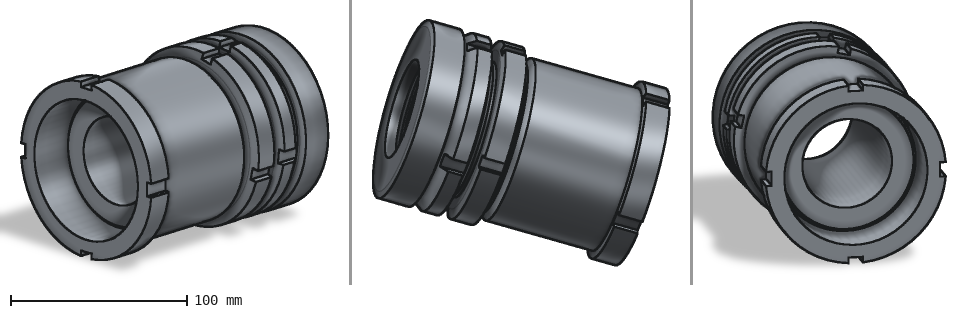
import cadquery as cq
import math


outer_radius = 52.5
edge_chamfer_length = 1.0
edge_chamfer_depth = 3.9
nut_chamfer_length = 1.3
nut_chamfer_depth = 5.7
thread_radius = 40.0

notch_count = 4
notch_floor_radius = 48.8

flange_length = 15.0
flange_radius = 52.2
barrel_radius = 47.9
sleeve_length = 82.2
barrel_chamfer = 3.5
sleeve_bore_radius = 41.5
sleeve_bore_depth = 40.2
sleeve_notch_width = 8.3

lock_nut_start = 84.7
lock_nut_length = 14.9
lock_nut_notch_width = 7.2
lock_nut_turn = 13.0

spindle_start = 24.0
spindle_bore_radius = 26.0
neck_radius = 38.5
thread_chamfer = thread_radius - neck_radius
thread_end = 103.2
head_start = 105.2
head_rim_length = 10.0
head_top = 133.5
head_notch_width = 8.3
head_turn = 6.0

seat_radius = 63.1
seat_rim = head_start + head_rim_length
seat_center = seat_rim - math.sqrt(seat_radius**2 - outer_radius**2)

washer_start = 122.7
washer_length = 20.1
washer_bore_radius = 29.0
washer_tilt_x = -0.65
washer_tilt_z = 0.65


def turned(outline):
    """Solid of revolution about Y from (radius, y) corners."""
    return cq.Workplane("XY").polyline(outline).close().revolve(360, (0, 0, 0), (0, 1, 0))


def cylinder(radius, start, end):
    return turned([(0, start), (radius, start), (radius, end), (0, end)])


def cut_notches(body, width, start, length, turn=0):
    """Cut flat-floored notches into the rim, turned clockwise as seen from -Y."""
    notch_height = outer_radius
    for index in range(notch_count):
        notch = (
            cq.Workplane("XY")
            .box(width, length, notch_height, centered=(True, False, False))
            .translate((0, start, notch_floor_radius))
            .rotate((0, 0, 0), (0, 1, 0), turn + index * 360 / notch_count)
        )
        body = body.cut(notch)
    return body


def make_sleeve():
    body = turned([
        (thread_radius, sleeve_bore_depth),
        (sleeve_bore_radius, sleeve_bore_depth),
        (sleeve_bore_radius, 0),
        (flange_radius, 0),
        (flange_radius, flange_length - edge_chamfer_length),
        (flange_radius - edge_chamfer_depth, flange_length),
        (barrel_radius, flange_length),
        (barrel_radius, sleeve_length - barrel_chamfer),
        (barrel_radius - barrel_chamfer, sleeve_length),
        (thread_radius, sleeve_length),
    ])
    return cut_notches(body, sleeve_notch_width, 0, flange_length)


def make_lock_nut():
    end = lock_nut_start + lock_nut_length
    body = turned([
        (thread_radius, lock_nut_start),
        (outer_radius - nut_chamfer_depth, lock_nut_start),
        (outer_radius, lock_nut_start + nut_chamfer_length),
        (outer_radius, end - nut_chamfer_length),
        (outer_radius - nut_chamfer_depth, end),
        (thread_radius, end),
    ])
    return cut_notches(body, lock_nut_notch_width, lock_nut_start, lock_nut_length, lock_nut_turn)


def seat_ball():
    return cq.Workplane("XY").sphere(seat_radius).translate((0, seat_center, 0))


def make_spindle():
    shank = turned([
        (0, spindle_start),
        (neck_radius, spindle_start),
        (thread_radius, spindle_start + thread_chamfer),
        (thread_radius, thread_end - thread_chamfer),
        (neck_radius, thread_end),
        (neck_radius, head_start),
        (0, head_start),
    ])
    head = turned([
        (0, head_start),
        (outer_radius - nut_chamfer_depth, head_start),
        (outer_radius, head_start + nut_chamfer_length),
        (outer_radius, head_top),
        (0, head_top),
    ]).intersect(seat_ball())
    head = cut_notches(head, head_notch_width, head_start, head_top - head_start, head_turn)
    bore = cylinder(spindle_bore_radius, spindle_start, head_top)
    return shank.union(head).cut(bore)


def make_washer():
    end = washer_start + washer_length
    body = turned([
        (washer_bore_radius, washer_start),
        (outer_radius - edge_chamfer_depth, washer_start),
        (outer_radius, washer_start + edge_chamfer_length),
        (outer_radius, end - edge_chamfer_length),
        (outer_radius - edge_chamfer_depth, end),
        (washer_bore_radius, end),
    ]).cut(seat_ball())
    pivot = cq.Vector(0, seat_center, 0)
    body = body.rotate(pivot, pivot + cq.Vector(1.5, 0, 0), washer_tilt_x)
    return body.rotate(pivot, pivot + cq.Vector(0, 0, 1.5), washer_tilt_z)


sleeve = make_sleeve()
lock_nut = make_lock_nut()
spindle = make_spindle()
washer = make_washer()

result = cq.Compound.makeCompound([sleeve.val(), lock_nut.val(), spindle.val(), washer.val()])